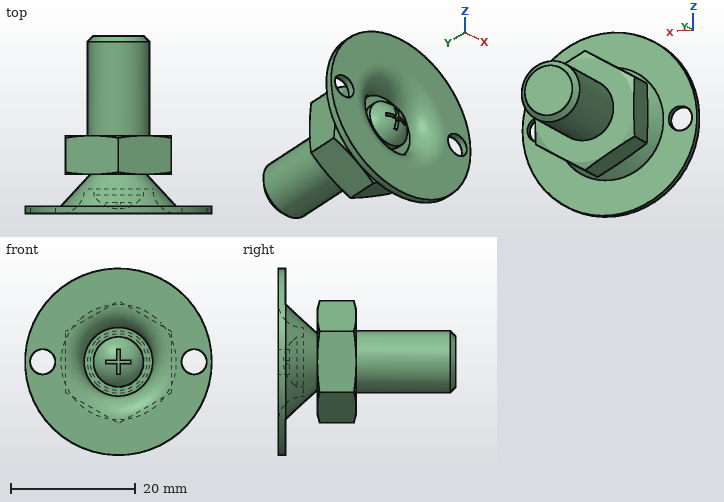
import cadquery as cq
import math


flange_diameter = 30.0
flange_thickness = 1.2
mounting_hole_diameter = 4.0
mounting_hole_offset = 12.15

cone_base_radius = 9.25
cone_tip_radius = 4.8
cone_tip_y = 6.0
neck_end_radius = 4.55
dish_rim_radius = 9.5
dish_floor_radius = 5.5
flare_radius = dish_rim_radius - dish_floor_radius
dish_floor_y = flare_radius

nut_across_flats = 17.0
nut_front_y = 6.3
nut_thickness = 6.2
nut_chamfer_angle = 15.0
nut_corner_radius = nut_across_flats / math.sqrt(3)

shank_diameter = 10.0
shank_end_y = 28.5
shank_chamfer = 0.92

head_radius = 4.0
head_rim_height = 1.0
dome_height = 2.2
slot_length = 4.0
slot_width = 0.55
slot_floor_y = 1.8


def revolve_profile(profile):
    """Turn a closed (radius, Y) profile about the Y axis."""
    return profile.close().revolve(360, (0, 0, 0), (0, 1, 0))


def cylinder(radius, start_y, end_y):
    return cq.Workplane("XZ", origin=(0, start_y, 0)).circle(radius).extrude(start_y - end_y)


def make_flange():
    flange = cylinder(flange_diameter / 2, 0, flange_thickness)
    cone = revolve_profile(
        cq.Workplane("XY")
        .lineTo(cone_base_radius, 0)
        .lineTo(cone_base_radius, flange_thickness)
        .lineTo(cone_tip_radius, cone_tip_y)
        .lineTo(neck_end_radius, nut_front_y)
        .lineTo(0, nut_front_y)
    )
    return flange.union(cone)


def make_dish():
    """Cavity whose wall curves from the flange face down to a flat floor."""
    flare_middle = flare_radius * math.sqrt(0.5)
    return revolve_profile(
        cq.Workplane("XY")
        .lineTo(dish_rim_radius, 0)
        .threePointArc(
            (dish_rim_radius - flare_middle, flare_radius - flare_middle),
            (dish_floor_radius, dish_floor_y),
        )
        .lineTo(0, dish_floor_y)
    )


def make_mounting_holes():
    hole = cylinder(mounting_hole_diameter / 2, 0, flange_thickness)
    return hole.translate((-mounting_hole_offset, 0, 0)).union(hole.translate((mounting_hole_offset, 0, 0)))


def make_nut():
    """Hexagon with corners on Z, its corners bevelled by a cone at each end."""
    nut_back_y = nut_front_y + nut_thickness
    face_radius = nut_across_flats / 2
    bevel_depth = (nut_corner_radius - face_radius) * math.tan(math.radians(nut_chamfer_angle))
    hexagon = (
        cq.Workplane("XZ", origin=(0, nut_front_y, 0))
        .polygon(6, 2 * nut_corner_radius)
        .extrude(-nut_thickness)
        .rotate((0, 0, 0), (0, 1, 0), 30)
    )
    envelope = revolve_profile(
        cq.Workplane("XY")
        .moveTo(0, nut_front_y)
        .lineTo(face_radius, nut_front_y)
        .lineTo(nut_corner_radius, nut_front_y + bevel_depth)
        .lineTo(nut_corner_radius, nut_back_y - bevel_depth)
        .lineTo(face_radius, nut_back_y)
        .lineTo(0, nut_back_y)
    )
    return hexagon.intersect(envelope)


def make_shank():
    shank = cylinder(shank_diameter / 2, nut_front_y, shank_end_y)
    return shank.faces(">Y").chamfer(shank_chamfer)


def make_screw_head():
    """Domed disc standing on the dish floor, with a flat-bottomed cross slot."""
    rim_y = dish_floor_y - head_rim_height
    crown_y = rim_y - dome_height
    sphere_radius = (head_radius**2 + dome_height**2) / (2 * dome_height)
    sphere = cq.Workplane("XY").sphere(sphere_radius).translate((0, crown_y + sphere_radius, 0))
    dome = sphere.intersect(cylinder(head_radius, crown_y, rim_y))
    head = dome.union(cylinder(head_radius, rim_y, dish_floor_y))
    slot_floor = cq.Workplane("XZ", origin=(0, slot_floor_y, 0))
    slot = slot_floor.rect(slot_length, slot_width).extrude(slot_floor_y - crown_y)
    return head.cut(slot).cut(slot.rotate((0, 0, 0), (0, 1, 0), 90))


flange = make_flange().cut(make_dish()).cut(make_mounting_holes())
result = flange.union(make_nut()).union(make_shank()).union(make_screw_head())